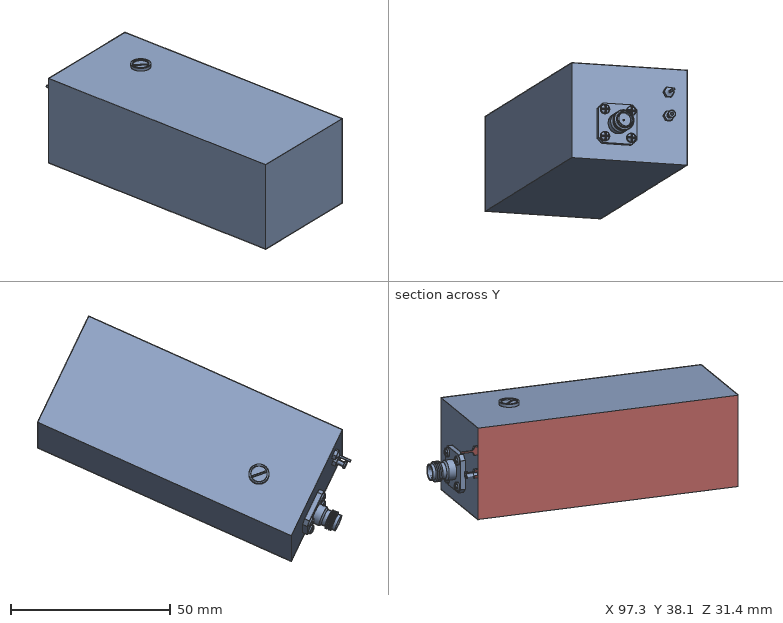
import cadquery as cq
import math

overall_length = 97.3
housing_length = 87.8
housing_width = 38.1
housing_height = 30.4

plug_x = 17.6
plug_y = 5.3
plug_diameter = 6.3
plug_height = 1.0
plug_recess_diameter = 5.2
plug_recess_depth = 0.4
plug_slot_width = 0.5
plug_slot_depth = 0.4
plug_slot_angle = 45

connector_y = 4.4
connector_z = 11.5
flange_size = 12.6
flange_thickness = 1.7
flange_corner_chamfer = 1.6
connector_reach = overall_length - housing_length
collar_radius = 3.2
collar_end = 4.8
barrel_radius = 2.6
collar_chamfer = collar_radius - barrel_radius
thread_start = 6.0
thread_pitch = 0.6
thread_count = 4
thread_crest_radius = 3.2
bore_radius = 2.2
bore_depth = 1.7
contact_hole_radius = 0.2
contact_hole_depth = 0.5

screw_spacing = 8.7
screw_head_diameter = 2.9
screw_rim_height = 0.6
screw_dome_height = 0.6
screw_head_height = screw_rim_height + screw_dome_height
cross_width = 0.4
cross_depth = 0.6

terminal_y = -12.7
hex_across_flats = 2.9
hex_thickness = 1.2
hex_across_corners = hex_across_flats / math.cos(math.radians(30))

pin_terminal_z = 22.9
pin_diameter = 0.7
pin_reach = 5.7
bead_radius = hex_across_flats / 2
bead_height = 0.8
bead_sag = 0.15

turret_terminal_z = 15.3
turret_post_diameter = 1.6
turret_reach = 4.1
turret_rim_diameter = 2.3
turret_rim_thickness = 0.6
turret_hole_diameter = 1.0


def outward_plane(y, z, distance=0):
    """Plane parallel to the connector face, facing -X, with local x along -Y."""
    return cq.Plane(origin=(-distance, y, z), xDir=(0, -1, 0), normal=(-1, 0, 0))


def disc(y, z, start, length, diameter):
    """Cylinder running outward along -X from the given distance off the face."""
    return cq.Workplane(outward_plane(y, z, start)).circle(diameter / 2).extrude(length)


def axial_plane(y, z):
    """Plane through an axis along -X: local x is the radius, local y the distance off the face."""
    return cq.Plane(origin=(0, y, z), xDir=(0, 0, 1), normal=(0, -1, 0))


def dome(y, z, start, base_radius, height):
    """Spherical cap whose flat base lies at the given distance off the face."""
    sphere_radius = (base_radius**2 + height**2) / (2 * height)
    half_angle = math.asin(base_radius / sphere_radius) / 2
    mid_radius = sphere_radius * math.sin(half_angle)
    mid_distance = start + height - sphere_radius * (1 - math.cos(half_angle))
    return (
        cq.Workplane(axial_plane(y, z))
        .moveTo(0, start)
        .lineTo(base_radius, start)
        .threePointArc((mid_radius, mid_distance), (0, start + height))
        .close()
        .revolve(360, (0, 0), (0, 1))
    )


def make_housing():
    return cq.Workplane("XY").box(
        housing_length, housing_width, housing_height, centered=(False, True, False)
    )


def make_plug():
    floor = plug_height - plug_recess_depth
    plug = cq.Workplane("XY").circle(plug_diameter / 2).extrude(plug_height)
    recess_round = cq.Workplane("XY").circle(plug_recess_diameter / 2).extrude(plug_height)
    recess = recess_round.translate((0, 0, floor))
    slot = (
        cq.Workplane("XY", origin=(0, 0, floor - plug_slot_depth))
        .transformed(rotate=(0, 0, plug_slot_angle))
        .rect(plug_recess_diameter, plug_slot_width)
        .extrude(plug_slot_depth)
        .intersect(recess_round)
    )
    return plug.cut(recess).cut(slot).translate((plug_x, plug_y, housing_height))


def make_connector():
    flange = (
        cq.Workplane(outward_plane(connector_y, connector_z))
        .rect(flange_size, flange_size)
        .extrude(flange_thickness)
        .edges("|X")
        .chamfer(flange_corner_chamfer)
    )
    bore_floor = connector_reach - bore_depth
    contact_floor = bore_floor - contact_hole_depth
    profile = [
        (0, 0),
        (collar_radius, 0),
        (collar_radius, collar_end - collar_chamfer),
        (barrel_radius, collar_end),
    ]
    for index in range(thread_count):
        root = thread_start + index * thread_pitch
        profile += [(barrel_radius, root), (thread_crest_radius, root + thread_pitch / 2)]
    profile += [
        (barrel_radius, thread_start + thread_count * thread_pitch),
        (barrel_radius, connector_reach),
        (bore_radius, connector_reach),
        (bore_radius, bore_floor),
        (contact_hole_radius, bore_floor),
        (contact_hole_radius, contact_floor),
        (0, contact_floor),
    ]
    barrel = (
        cq.Workplane(axial_plane(connector_y, connector_z))
        .polyline(profile)
        .close()
        .revolve(360, (0, 0), (0, 1))
    )
    return flange.union(barrel)


def make_screw(y, z):
    rim_end = flange_thickness + screw_rim_height
    rim = disc(y, z, flange_thickness, screw_rim_height, screw_head_diameter)
    head = rim.union(dome(y, z, rim_end, screw_head_diameter / 2, screw_dome_height))
    cross_floor = outward_plane(y, z, flange_thickness + screw_head_height - cross_depth)
    for width, height in ((screw_head_diameter, cross_width), (cross_width, screw_head_diameter)):
        head = head.cut(cq.Workplane(cross_floor).rect(width, height).extrude(cross_depth))
    return head


def make_hex_base(z):
    return cq.Workplane(outward_plane(terminal_y, z)).polygon(6, hex_across_corners).extrude(hex_thickness)


def make_pin_terminal():
    bead = (
        cq.Workplane(axial_plane(terminal_y, pin_terminal_z))
        .moveTo(0, hex_thickness)
        .lineTo(bead_radius, hex_thickness)
        .sagittaArc((pin_diameter / 2, hex_thickness + bead_height), bead_sag)
        .lineTo(0, hex_thickness + bead_height)
        .close()
        .revolve(360, (0, 0), (0, 1))
    )
    pin = disc(terminal_y, pin_terminal_z, 0, pin_reach, pin_diameter)
    return make_hex_base(pin_terminal_z).union(bead).union(pin)


def make_turret_terminal():
    z = turret_terminal_z
    post = disc(terminal_y, z, 0, turret_reach, turret_post_diameter)
    rim = disc(terminal_y, z, turret_reach - turret_rim_thickness, turret_rim_thickness, turret_rim_diameter)
    hole = disc(terminal_y, z, 0, turret_reach, turret_hole_diameter)
    return make_hex_base(z).union(post).union(rim).cut(hole)


screws = [
    make_screw(connector_y + side * screw_spacing / 2, connector_z + level * screw_spacing / 2)
    for side in (-1, 1)
    for level in (-1, 1)
]

result = cq.Compound.makeCompound(
    [
        make_housing().val(),
        make_plug().val(),
        make_connector().val(),
        *[screw.val() for screw in screws],
        make_pin_terminal().val(),
        make_turret_terminal().val(),
    ]
)